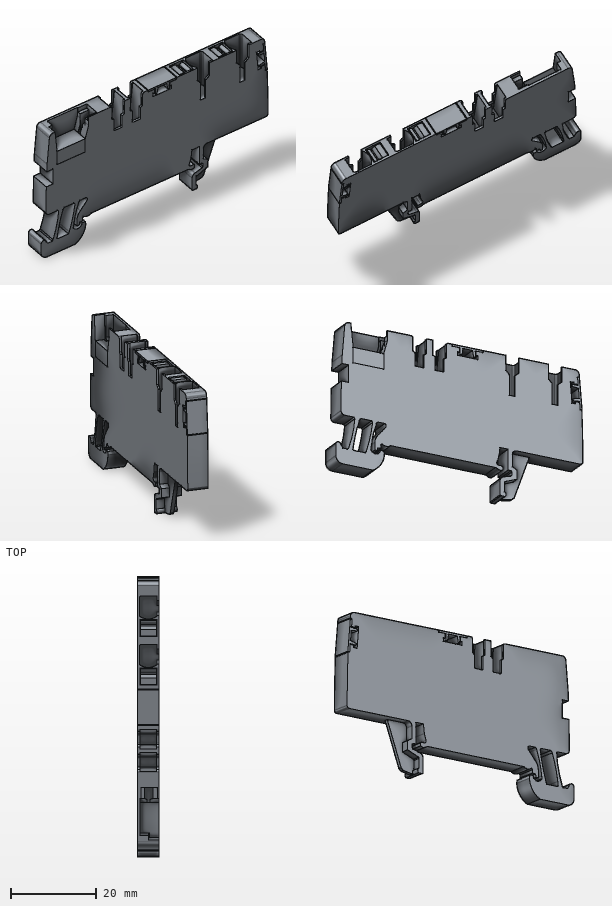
import cadquery as cq
import math

thickness = 5.1
half_length = 32.8
top_z = 36.2
shoulder_z = 12.5
rail_z = 7.15
pocket_floor_z = 26.25
past = 0.65

side_tilt = math.radians(5)
tilt_start_z = 27.7
end_bulge = 0.3
front_end_y = -31.45
back_top_radius = 1.1
front_top_radius = 1.1
back_bottom_radius = 0.65
front_bottom_radius = 1.0
end_notch_y = -29.4
end_notch_bottom_z = 21.0
end_notch_top_z = 25.45

slot_pitch = 5.3
first_slot_y = -5.25
slot_centers = [first_slot_y, first_slot_y - slot_pitch]
slot_upper_half = 1.8
slot_lower_half = 1.2
slot_step_top_z = 32.4
slot_step_bottom_z = 32.1
slot_floor_z = 28.7
slot_corner_radius = 0.25
slot_rim_radius = 0.5
rib_rim_radius = 0.25
slot_well_top_half = 2.2
slot_well_floor_half = 1.2
slot_well_x = (0.6, 4.5)

entry_pitch = 11.35
entry_backs = [28.35, 28.35 - entry_pitch]
entry_x = (0.45, 4.65)
entry_side_length = 4.7
entry_length = 5.45
entry_corner_radius = 0.6
button_well_x = (0.65, 4.65)
button_well_offset = 5.5
button_well_length = 4.0
button_clearance = 0.1
button_front_gap = 0.3
button_recess = 0.25
button_groove_depth = 0.65
button_shoulder_length = 0.9
button_groove_floor = 0.3
button_groove_slope = 0.85
entry_notch_ends = (1.1, 4.65)
entry_notch_throat = (2.2, 3.75)
entry_notch_throat_z = 31.5

marker_half = 4.1
marker_seat_flare = 0.2
marker_depth = 0.5
marker_leg_outer = 2.05
marker_leg_inner_top = 1.25
marker_leg_inner_tip = 1.6
marker_leg_tip = 2.2
marker_window_neck_half = 2.2
marker_window_half = 2.7
marker_window_neck = 1.65
marker_window_depth = 2.55
top_marker_y = 2.2
end_marker_z = 30.45

lever_x = 0.65
lever_tongue_x = 2.8
lever_tongue_gap = 0.2
lever_back_y = -20.1
lever_end_y = -27.2
lever_tongue_y = -28.2
lever_top_z = 30.2
lever_pocket_back_y = -19.1
lever_pocket_slope_z = 33.75
lever_pocket_chamfer = 0.65
lever_pocket_lean = 0.6
guide_x = (0.85, 4.7)
guide_back_y = -16.55
guide_ledge_z = 35.0
channel_x = (1.7, 3.7)
channel_gap_x = (2.2, 3.0)
channel_taper_y = -19.35

web_x = (2.1, 3.0)


def sketch():
    """A YZ sketch on the X = 0 face."""
    return cq.Workplane("YZ")


def slab(points, x_range=(0.0, thickness)):
    """A straight-sided YZ outline extruded between two X positions."""
    x_start, x_end = x_range
    return sketch().workplane(offset=x_start).polyline(points).close().extrude(x_end - x_start)


def block(x_range, y_range, z_range):
    """A box given by its limits along each axis."""
    (x0, x1), (y0, y1), (z0, z1) = x_range, sorted(y_range), z_range
    return cq.Workplane("XY").box(x1 - x0, y1 - y0, z1 - z0, centered=False).translate((x0, y0, z0))


def edge_along_x(y, z, reach=0.05):
    """Selects the edges parallel to X that run through (y, z)."""
    return cq.selectors.BoxSelector((-past, y - reach, z - reach), (thickness + past, y + reach, z + reach))


def tilted_face_y(end_y, z):
    """Distance of a leaning end face from Y = 0 at height z."""
    return abs(end_y) - end_bulge - (z - tilt_start_z) * math.tan(side_tilt)


def main_block():
    back_top = tilted_face_y(half_length, top_z)
    front_top = tilted_face_y(front_end_y, top_z)
    bulge_mid_z = (tilt_start_z + shoulder_z) / 2
    body = (
        sketch()
        .moveTo(half_length, shoulder_z)
        .threePointArc((half_length - end_bulge / 4, bulge_mid_z), (half_length - end_bulge, tilt_start_z))
        .lineTo(back_top, top_z)
        .lineTo(-front_top, top_z)
        .lineTo(front_end_y + end_bulge, tilt_start_z)
        .threePointArc((front_end_y + end_bulge / 4, bulge_mid_z), (front_end_y, shoulder_z))
        .close()
        .extrude(thickness)
    )
    corners = [
        (back_top, top_z, back_top_radius),
        (-front_top, top_z, front_top_radius),
        (half_length, shoulder_z, back_bottom_radius),
        (front_end_y, shoulder_z, front_bottom_radius),
    ]
    for y, z, radius in corners:
        body = body.edges(edge_along_x(y, z)).fillet(radius)
    notch = block(
        (0, thickness), (-half_length - past, end_notch_y), (end_notch_bottom_z, end_notch_top_z)
    )
    return body.cut(notch)


def rail_seat():
    """Middle underside with a nose at +Y and a curled lip at -Y that grip the rail."""
    return (
        sketch()
        .moveTo(10.75, shoulder_z)
        .lineTo(10.5, 10.2)
        .lineTo(10.0, 8.5)
        .threePointArc((10.1, 8.1), (10.55, 7.9))
        .lineTo(11.35, 7.9)
        .lineTo(11.55, 7.7)
        .lineTo(11.55, 6.95)
        .threePointArc((10.9, 6.7), (10.25, 6.9))
        .lineTo(9.6, rail_z)
        .lineTo(-18.25, rail_z)
        .threePointArc((-19.35, 6.75), (-20.55, rail_z))
        .lineTo(-20.8, 6.8)
        .lineTo(-20.8, 6.05)
        .lineTo(-21.6, 5.9)
        .lineTo(-21.85, 5.2)
        .lineTo(-22.45, 5.2)
        .lineTo(-22.45, rail_z)
        .threePointArc((-22.2, 8.3), (-21.45, 9.3))
        .lineTo(-19.6, 11.5)
        .threePointArc((-19.5, 12.1), (-19.8, shoulder_z))
        .lineTo(-19.8, shoulder_z + past)
        .lineTo(10.75, shoulder_z + past)
        .close()
        .extrude(thickness)
    )


def latch_arm():
    """Springy arm at +Y that snaps under the rail."""
    return (
        sketch()
        .moveTo(15.2, shoulder_z + past)
        .lineTo(15.2, shoulder_z)
        .threePointArc((14.45, 12.15), (14.1, 11.35))
        .lineTo(14.1, 8.3)
        .lineTo(15.35, 7.55)
        .lineTo(15.35, 5.3)
        .lineTo(12.15, 4.1)
        .lineTo(12.0, 3.8)
        .lineTo(12.0, 1.45)
        .threePointArc((12.4, 0.85), (12.1, 0.25))
        .lineTo(11.0, 0.25)
        .lineTo(10.8, 0.45)
        .lineTo(10.8, 4.1)
        .threePointArc((11.0, 4.7), (11.7, 5.2))
        .lineTo(13.7, 5.8)
        .lineTo(14.0, 6.1)
        .lineTo(14.0, 6.9)
        .lineTo(13.7, rail_z)
        .lineTo(12.9, rail_z)
        .lineTo(12.9, shoulder_z + past)
        .close()
        .extrude(thickness)
    )


def latch_web():
    """Thin triangular web that stiffens the latch arm."""
    return slab(
        [
            (19.7, shoulder_z),
            (15.7, 1.4),
            (15.1, 0.85),
            (12.15, 0.3),
            (11.8, 4.25),
            (14.75, 5.9),
            (13.8, 8.5),
            (13.8, shoulder_z),
        ],
        web_x,
    )


def foot():
    """Fixed foot at -Y, hung from two curved legs with an opening between them."""
    outline = (
        sketch()
        .moveTo(-21.65, shoulder_z + past)
        .lineTo(-21.65, shoulder_z)
        .lineTo(-22.0, 12.0)
        .threePointArc((-22.9, 8.9), (-23.4, 5.8))
        .lineTo(-23.5, 5.1)
        .threePointArc((-22.45, 4.3), (-21.1, 5.05))
        .lineTo(-20.95, 5.5)
        .lineTo(-20.0, 5.4)
        .lineTo(-19.9, 4.6)
        .threePointArc((-20.9, 1.8), (-23.0, 0.0))
        .lineTo(-31.05, 0.0)
        .threePointArc((-32.3, 0.5), (-half_length, 1.8))
        .lineTo(-half_length, 4.6)
        .threePointArc((-32.1, 5.4), (-31.45, 4.9))
        .lineTo(-30.9, 4.0)
        .lineTo(-29.65, 4.0)
        .lineTo(-29.4, 4.3)
        .threePointArc((-28.3, 8.35), (-27.75, 12.1))
        .lineTo(-28.0, shoulder_z)
        .lineTo(-28.0, shoulder_z + past)
        .close()
        .extrude(thickness)
    )
    opening = (
        sketch()
        .moveTo(-23.3, shoulder_z)
        .lineTo(-26.1, shoulder_z)
        .lineTo(-26.5, 11.95)
        .threePointArc((-27.45, 8.65), (-28.1, 5.25))
        .lineTo(-28.2, 4.2)
        .lineTo(-27.95, 4.0)
        .lineTo(-24.95, 4.0)
        .lineTo(-24.7, 4.5)
        .threePointArc((-23.6, 8.6), (-23.05, 12.1))
        .close()
        .extrude(thickness)
    )
    return outline.cut(opening)


def cut_jumper_slots(body):
    """Stepped slots through both side walls, each widened inside by a tapered well."""
    for center in slot_centers:
        half_outline = [
            (slot_upper_half, top_z + past),
            (slot_upper_half, slot_step_top_z),
            (slot_lower_half, slot_step_bottom_z),
            (slot_lower_half, slot_floor_z),
        ]
        left = [(center + y, z) for y, z in half_outline]
        right = [(center - y, z) for y, z in reversed(half_outline)]
        slot = slab(left + right)
        for floor_y in (center - slot_lower_half, center + slot_lower_half):
            slot = slot.edges(edge_along_x(floor_y, slot_floor_z)).fillet(slot_corner_radius)
        body = body.cut(slot)

    rims = [
        (slot_centers[0] + slot_upper_half, slot_rim_radius),
        (slot_centers[1] + slot_upper_half, rib_rim_radius),
        (slot_centers[1] - slot_upper_half, slot_rim_radius),
    ]
    for y, radius in rims:
        body = body.edges(edge_along_x(y, top_z)).fillet(radius)

    for center in slot_centers:
        well = slab(
            [
                (center + slot_well_top_half, top_z),
                (center + slot_well_floor_half, pocket_floor_z),
                (center - slot_well_floor_half, pocket_floor_z),
                (center - slot_well_top_half, top_z),
            ],
            slot_well_x,
        )
        body = body.cut(well)
    return body


def wire_entry(back_y):
    """Funnel with a rounded -Y end, plus a stepped notch through the +X wall."""
    x_near, x_far = entry_x
    side_y = back_y - entry_side_length
    well = (
        cq.Workplane("XY", origin=(0, 0, pocket_floor_z))
        .moveTo(x_far, back_y)
        .lineTo(x_near + entry_corner_radius, back_y)
        .radiusArc((x_near, back_y - entry_corner_radius), -entry_corner_radius)
        .lineTo(x_near, side_y)
        .threePointArc(((x_near + x_far) / 2, back_y - entry_length), (x_far, side_y))
        .close()
        .extrude(top_z - pocket_floor_z)
    )
    upper_start, upper_end = (back_y - offset for offset in entry_notch_ends)
    throat_start, throat_end = (back_y - offset for offset in entry_notch_throat)
    side_notch = slab(
        [
            (upper_start, top_z),
            (upper_start, slot_step_top_z),
            (throat_start, entry_notch_throat_z),
            (throat_start, pocket_floor_z),
            (throat_end, pocket_floor_z),
            (throat_end, entry_notch_throat_z),
            (upper_end, slot_step_top_z),
            (upper_end, top_z),
        ],
        (x_far - past, thickness),
    )
    return well.union(side_notch)


def button_well(back_y):
    start = back_y - button_well_offset
    return block(button_well_x, (start, start - button_well_length), (pocket_floor_z, top_z))


def lever_pocket():
    """Pocket open to +X, with a guide channel at its +Y end and a stepped -Y end."""
    chamfer_top_y = lever_end_y - lever_pocket_chamfer
    main_well = slab(
        [
            (lever_pocket_back_y, top_z),
            (lever_pocket_back_y, lever_pocket_slope_z),
            (lever_back_y, lever_top_z),
            (lever_back_y, pocket_floor_z),
            (lever_end_y, pocket_floor_z),
            (lever_end_y, lever_top_z),
            (chamfer_top_y, lever_top_z + lever_pocket_chamfer),
            (chamfer_top_y, top_z),
        ],
        (lever_x, thickness),
    )
    tongue_well = slab(
        [
            (lever_end_y, top_z),
            (lever_end_y, pocket_floor_z),
            (lever_tongue_y, pocket_floor_z),
            (lever_tongue_y, lever_top_z),
            (lever_tongue_y - lever_pocket_lean, top_z),
        ],
        (lever_tongue_x - lever_tongue_gap, thickness),
    )
    guide = block(guide_x, (guide_back_y, lever_pocket_back_y), (guide_ledge_z, top_z))
    channel = (
        cq.Workplane("XY", origin=(0, 0, lever_top_z))
        .moveTo(channel_x[0], guide_back_y)
        .lineTo(channel_x[1], guide_back_y)
        .lineTo(channel_x[1], lever_pocket_back_y)
        .lineTo(channel_gap_x[1], channel_taper_y)
        .lineTo(channel_gap_x[1], lever_back_y)
        .lineTo(channel_gap_x[0], lever_back_y)
        .lineTo(channel_gap_x[0], channel_taper_y)
        .lineTo(channel_x[0], lever_pocket_back_y)
        .close()
        .extrude(top_z - lever_top_z)
    )
    return main_well.union(tongue_well).union(guide).union(channel)


def marker_plate(flare=0.0):
    """Marker plate lying along Y with its outer face at Z = 0, longer there by the flare."""
    outer_half = marker_half + flare
    return slab(
        [(-outer_half, 0), (outer_half, 0), (marker_half, -marker_depth), (-marker_half, -marker_depth)]
    )


def marker():
    """Marker plate with two tapered snap legs."""
    body = marker_plate()
    for side in (1, -1):
        leg = slab(
            [
                (side * marker_leg_outer, -marker_depth),
                (side * marker_leg_outer, -marker_leg_tip),
                (side * marker_leg_inner_tip, -marker_leg_tip),
                (side * marker_leg_inner_top, -marker_depth),
            ]
        )
        body = body.union(leg)
    return body


def marker_seat():
    """Space for a marker: its plate and the undercut window around its legs."""
    window = slab(
        [
            (marker_window_neck_half, -marker_depth),
            (marker_window_neck_half, -marker_window_neck),
            (marker_window_half, -marker_window_neck),
            (marker_window_half, -marker_window_depth),
            (-marker_window_half, -marker_window_depth),
            (-marker_window_half, -marker_window_neck),
            (-marker_window_neck_half, -marker_window_neck),
            (-marker_window_neck_half, -marker_depth),
        ]
    )
    return marker_plate(marker_seat_flare).union(window)


def on_top(shape):
    return shape.translate((0, top_marker_y, top_z))


def on_end(shape):
    """Turns a marker shape onto the leaning +Y end face."""
    turn = math.degrees(side_tilt) - 90
    face_y = tilted_face_y(half_length, end_marker_z)
    return shape.rotate((0, 0, 0), (1, 0, 0), turn).translate((0, face_y, end_marker_z))


def clamp_button(back_y):
    """Button with a rounded shoulder and a screwdriver groove across its top."""
    start = back_y - button_well_offset - button_front_gap
    end = back_y - button_well_offset - button_well_length + button_clearance
    top = top_z - button_recess
    groove_z = top - button_groove_depth
    groove_start = start - button_shoulder_length
    groove_end = groove_start - button_groove_floor
    x_range = (button_well_x[0] + button_clearance, button_well_x[1] - button_clearance)
    return (
        sketch()
        .workplane(offset=x_range[0])
        .moveTo(start, pocket_floor_z)
        .lineTo(start, top)
        .radiusArc((groove_start, groove_z), -2 * button_groove_depth)
        .lineTo(groove_end, groove_z)
        .lineTo(groove_end - button_groove_slope, top)
        .lineTo(end, top)
        .lineTo(end, pocket_floor_z)
        .close()
        .extrude(x_range[1] - x_range[0])
    )


def make_lever():
    """Flat-topped lever with a tongue on its +X side."""
    height = (pocket_floor_z, lever_top_z)
    body = block((lever_x, thickness), (lever_back_y, lever_end_y), height)
    tongue = block((lever_tongue_x, thickness), (lever_end_y, lever_tongue_y), height)
    return body.union(tongue)


def make_housing():
    body = cut_jumper_slots(main_block())
    for part in (rail_seat(), latch_arm(), latch_web(), foot()):
        body = body.union(part)
    for back_y in entry_backs:
        body = body.cut(wire_entry(back_y)).cut(button_well(back_y))
    body = body.cut(lever_pocket())
    return body.cut(on_top(marker_seat())).cut(on_end(marker_seat()))


housing = make_housing()
top_marker = on_top(marker())
end_marker = on_end(marker())
clamp_buttons = [clamp_button(back_y) for back_y in entry_backs]
lever = make_lever()

result = cq.Compound.makeCompound(
    [
        housing.val(),
        top_marker.val(),
        end_marker.val(),
        *[button.val() for button in clamp_buttons],
        lever.val(),
    ]
)